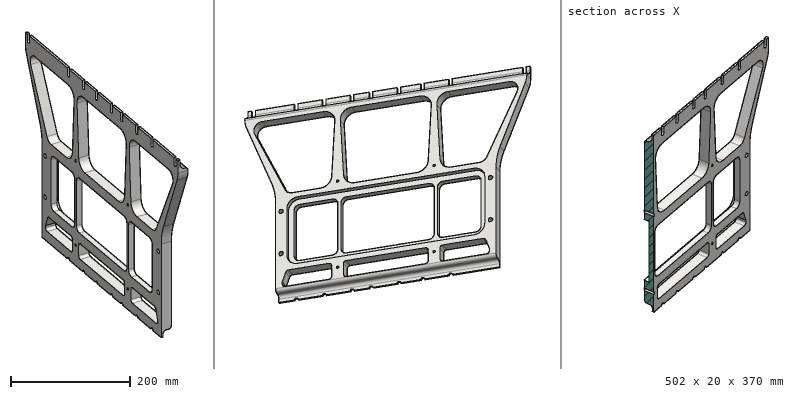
import cadquery as cq
import math

width = 502.0
thickness = 20.0
height = 370.0

half_head = width / 2
half_body = 196.5
shoulder_z = height - 31.5
waist_z = height - 169.0
shoulder_radius = 40.0
waist_radius = 100.5

top_lip_height = 18.0
top_lip_thickness = 4.5
back_edge_radius = 6.0
top_lip_fillet = thickness - top_lip_thickness - back_edge_radius
bottom_lip_height = 12.0
bottom_lip_thickness = 3.5
bottom_lip_fillet = 6.0

upper_row_bottom, upper_row_top = 195.0, 338.5
middle_row_bottom, middle_row_top = 69.5, 175.0
lower_row_bottom, lower_row_top = 19.5, 49.5
mullion_x = 86.0
upper_mullion_half_top = 4.0
upper_mullion_half_bottom = 11.5
middle_mullion_half = 3.0
lower_mullion_half = 10.5

upper_outer_top_x = 243.5
upper_outer_bottom_x = 175.5
middle_outer_x = 166.0
lower_outer_x = 184.0
lower_bevel_top_x = 176.5
lower_bevel_z = 28.5

upper_radius = 20.0
upper_outer_radius = 15.0
middle_radius = 9.5
lower_radius = 5.0

middle_web_thickness = 11.0
recess_margin = 10.0

wire_positions = [-109.5, -59.5, -17.5, 32.0, 66.0, 115.5, 165.0]
end_slot_x = 241.0
slot_width = 6.5
slot_depth = 15.5

side_hole_x = 186.0
side_hole_heights = [83.0, 162.5]
side_hole_diameter = 7.5
pin_hole_heights = [39.5, 203.0]
pin_hole_diameter = 4.0


def prism(corners, depth=thickness, start=0.0):
    """Extrude a polygon of (x, z, radius) corners toward +Y, rounding each corner that has a radius."""
    plane = cq.Workplane("XZ", origin=(0, start, 0))
    body = plane.polyline([(x, z) for x, z, _ in corners]).close().extrude(-depth)
    for x, z, radius in corners:
        if radius > 0:
            corner = cq.selectors.NearestToPointSelector((x, start + depth / 2, z))
            body = body.edges("|Y").edges(corner).fillet(radius)
    return body


def mirrored(half):
    """Complete a left-right symmetric outline from its right half."""
    return half + [(-x, z, radius) for x, z, radius in reversed(half)]


def both_sides(body):
    return body.union(body.mirror("YZ"))


def frame_blank():
    """Outer silhouette with the lipped cross-section."""
    silhouette = prism(mirrored([
        (half_body, 0, 0),
        (half_body, waist_z, waist_radius),
        (half_head, shoulder_z, shoulder_radius),
        (half_head, height, 0),
    ]))

    bottom_step = bottom_lip_height
    top_step = height - top_lip_height
    diagonal = 1 - math.sqrt(0.5)
    bottom_reach = bottom_lip_fillet * diagonal
    top_reach = top_lip_fillet * diagonal
    edge_reach = back_edge_radius * diagonal
    section = (
        cq.Workplane("YZ", origin=(-half_head, 0, 0))
        .moveTo(0, 0)
        .lineTo(bottom_lip_thickness, 0)
        .lineTo(bottom_lip_thickness, bottom_step - bottom_lip_fillet)
        .threePointArc(
            (bottom_lip_thickness + bottom_reach, bottom_step - bottom_reach),
            (bottom_lip_thickness + bottom_lip_fillet, bottom_step),
        )
        .lineTo(thickness - back_edge_radius, bottom_step)
        .threePointArc(
            (thickness - edge_reach, bottom_step + edge_reach),
            (thickness, bottom_step + back_edge_radius),
        )
        .lineTo(thickness, top_step - back_edge_radius)
        .threePointArc(
            (thickness - edge_reach, top_step - edge_reach),
            (thickness - back_edge_radius, top_step),
        )
        .threePointArc(
            (top_lip_thickness + top_reach, top_step + top_reach),
            (top_lip_thickness, top_step + top_lip_fillet),
        )
        .lineTo(top_lip_thickness, height)
        .lineTo(0, height)
        .close()
        .extrude(width)
    )
    return silhouette.intersect(section)


def upper_windows():
    center = prism(mirrored([
        (mullion_x - upper_mullion_half_bottom, upper_row_bottom, upper_radius),
        (mullion_x - upper_mullion_half_top, upper_row_top, upper_radius),
    ]))
    side = prism([
        (mullion_x + upper_mullion_half_bottom, upper_row_bottom, upper_radius),
        (upper_outer_bottom_x, upper_row_bottom, upper_outer_radius),
        (upper_outer_top_x, upper_row_top, upper_outer_radius),
        (mullion_x + upper_mullion_half_top, upper_row_top, upper_radius),
    ])
    return center.union(both_sides(side))


def middle_windows():
    center_x = mullion_x - middle_mullion_half
    inner_x = mullion_x + middle_mullion_half
    center = prism(mirrored([
        (center_x, middle_row_bottom, middle_radius),
        (center_x, middle_row_top, middle_radius),
    ]))
    side = prism([
        (inner_x, middle_row_bottom, middle_radius),
        (middle_outer_x, middle_row_bottom, middle_radius),
        (middle_outer_x, middle_row_top, middle_radius),
        (inner_x, middle_row_top, middle_radius),
    ])
    return center.union(both_sides(side))


def lower_windows():
    center_x = mullion_x - lower_mullion_half
    inner_x = mullion_x + lower_mullion_half
    center = prism(mirrored([
        (center_x, lower_row_bottom, lower_radius),
        (center_x, lower_row_top, lower_radius),
    ]))
    side = prism([
        (inner_x, lower_row_bottom, lower_radius),
        (lower_outer_x, lower_row_bottom, lower_radius),
        (lower_outer_x, lower_bevel_z, 0),
        (lower_bevel_top_x, lower_row_top, lower_radius),
        (inner_x, lower_row_top, lower_radius),
    ])
    return center.union(both_sides(side))


def back_recess():
    """Pocket that thins the web around the middle windows from behind."""
    half_width = middle_outer_x + recess_margin
    corner_radius = middle_radius + recess_margin
    return prism(
        mirrored([
            (half_width, middle_row_bottom - recess_margin, corner_radius),
            (half_width, middle_row_top + recess_margin, corner_radius),
        ]),
        depth=thickness - middle_web_thickness,
        start=middle_web_thickness,
    )


def cylinders(points, diameter):
    return cq.Workplane("XZ").pushPoints(points).circle(diameter / 2).extrude(-thickness)


def wire_slots():
    """Round-ended slots open to the top edge and half-round nicks in the bottom edge."""
    slot_radius = slot_width / 2
    slot_end_z = height - slot_depth + slot_radius
    slot_xs = [-end_slot_x] + wire_positions + [end_slot_x]
    straight_height = height - slot_end_z
    straights = (
        cq.Workplane("XZ")
        .pushPoints([(x, slot_end_z + straight_height / 2) for x in slot_xs])
        .rect(slot_width, straight_height)
        .extrude(-thickness)
    )
    round_ends = cylinders([(x, slot_end_z) for x in slot_xs], slot_width)
    nicks = cylinders([(x, 0) for x in wire_positions], slot_width)
    return straights.union(round_ends).union(nicks)


def holes():
    sides = (-1, 1)
    side_points = [(s * side_hole_x, z) for s in sides for z in side_hole_heights]
    pin_points = [(s * mullion_x, z) for s in sides for z in pin_hole_heights]
    return cylinders(side_points, side_hole_diameter).union(cylinders(pin_points, pin_hole_diameter))


result = (
    frame_blank()
    .cut(upper_windows())
    .cut(middle_windows())
    .cut(lower_windows())
    .cut(back_recess())
    .cut(wire_slots())
    .cut(holes())
)